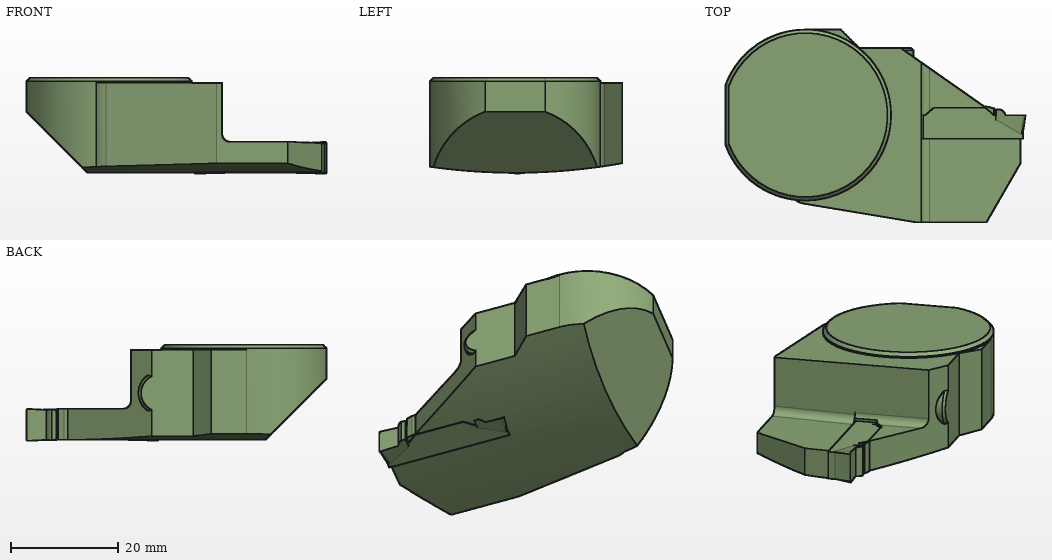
import cadquery as cq
import math


DISC_RADIUS = 16.0
DISC_TOP = 18.0
DISC_CHAMFER = 0.7
DISC_FLAT_X = -15.0
HEEL_BEVEL_TOP = 11.65

BODY_TOP = 17.05
SIDE_Y = -20.0
BACK_Y = 12.55
SHOULDER_END_X = 6.55
BACK_BEVEL_X = 17.7
BACK_BEVEL_ANGLE = 35
BLEND_START_X = -1.9
BLEND_END_X = -0.1
BLEND_END_Y = -16.6
BLEND_SAG = 0.1
TAPER_END_X = 20.5
BLADE_END_X = 40.15
BLADE_CORNER_Y = -9.05
BLADE_BEVEL_ANGLE = 60
BELLY_RADIUS = 112.2
BELLY_Z = 0.2

WALL_X = 21.6
STEP_FILLET = 1.5
BLADE_TOP = 6.05
BLADE_RELIEF = 0.35

NOSE_START_Y = 1.6
NOSE_KNEE_X = 34.1
NOSE_KNEE_Y = 1.55
NOSE_END_X = 35.25
NOSE_END_Y = 1.25

BOSS_RADIUS = 4.0
BOSS_RIGHT_X = 20.2
BOSS_Z = 9.0
BOSS_CHAMFER = 0.5

TIP_X = 41.1
INSERT_MID_X = 28.8
TIP_WIDTH = 6.05
NECK_INSET = 0.4
INSERT_BASE_Y = -4.45
CREST_Y = 1.4
CREST_END_X = 33.55
RAMP_END_X = 35.2
BREAKER_START_X = 35.55
BREAKER_TOP_X = 36.35
BREAKER_MID = (36.95, 0.7)
BREAKER_END_X = 37.35
BREAKER_Y = 1.05
CLEARANCE_END = (40.7, -3.1)
TIP_CORNER_RADIUS = 0.4
FLARE_START_Y = -0.85
FLARE_LINE_ANGLE = 30

CUT = 112.2
MARGIN = 0.15



def coupling_disc():
    disc = cq.Workplane("XY").circle(DISC_RADIUS).extrude(DISC_TOP)
    flat = cq.Workplane("XY").box(CUT, CUT, CUT).translate((DISC_FLAT_X - CUT / 2, 0, 0))
    return disc.cut(flat).faces(">Z").chamfer(DISC_CHAMFER)


def holder_plate():
    """Outline of the holder, full height, from the disc to the blade end."""
    shoulder_drop = DISC_RADIUS - BACK_Y
    nose_start_x = BACK_BEVEL_X + (BACK_Y - NOSE_START_Y) / math.tan(math.radians(BACK_BEVEL_ANGLE))
    blade_bevel_x = BLADE_END_X + (SIDE_Y - BLADE_CORNER_Y) / math.tan(math.radians(BLADE_BEVEL_ANGLE))
    blend_start_y = -math.sqrt(DISC_RADIUS ** 2 - BLEND_START_X ** 2)
    return (
        cq.Workplane("XY")
        .moveTo(0, DISC_RADIUS)
        .lineTo(SHOULDER_END_X, DISC_RADIUS)
        .lineTo(SHOULDER_END_X + shoulder_drop, BACK_Y)
        .lineTo(BACK_BEVEL_X, BACK_Y)
        .lineTo(nose_start_x, NOSE_START_Y)
        .lineTo(NOSE_KNEE_X, NOSE_KNEE_Y)
        .lineTo(NOSE_END_X, NOSE_END_Y)
        .lineTo(NOSE_END_X, INSERT_BASE_Y)
        .lineTo(BLADE_END_X, INSERT_BASE_Y)
        .lineTo(BLADE_END_X, BLADE_CORNER_Y)
        .lineTo(blade_bevel_x, SIDE_Y)
        .lineTo(TAPER_END_X, SIDE_Y)
        .lineTo(BLEND_END_X, BLEND_END_Y)
        .sagittaArc((BLEND_START_X, blend_start_y), BLEND_SAG)
        .lineTo(0, 0)
        .close()
        .extrude(BODY_TOP)
    )


def step_cutter(start_y, start_z, direction, length):
    """Material above the blade, down to the fillet at the wall, swept along `direction`."""
    plane = cq.Plane(origin=(WALL_X, start_y, start_z), xDir=(1, 0, 0), normal=direction)
    return (
        cq.Workplane(plane)
        .moveTo(STEP_FILLET, 0)
        .lineTo(CUT, 0)
        .lineTo(CUT, -CUT)
        .lineTo(0, -CUT)
        .lineTo(0, -STEP_FILLET)
        .tangentArcPoint((STEP_FILLET, 0), relative=False)
        .close()
        .extrude(length)
    )


def belly():
    """Cylinder along X whose underside is the curved bottom of the holder."""
    return (
        cq.Workplane("YZ")
        .workplane(offset=-CUT / 2)
        .center(0, BELLY_Z + BELLY_RADIUS)
        .circle(BELLY_RADIUS)
        .extrude(CUT)
    )


def heel_cutter():
    """Wedge below the 45 degree heel bevel."""
    return (
        cq.Workplane("XZ")
        .polyline([
            (DISC_FLAT_X, HEEL_BEVEL_TOP),
            (DISC_FLAT_X + HEEL_BEVEL_TOP, 0),
            (DISC_FLAT_X, 0),
        ])
        .close()
        .extrude(CUT / 2, both=True)
    )


def clamp_boss():
    boss_x = BOSS_RIGHT_X - BOSS_RADIUS
    return (
        cq.Workplane("XZ", origin=(boss_x, BACK_Y, BOSS_Z))
        .circle(BOSS_RADIUS)
        .extrude(BACK_Y)
        .faces(">Y")
        .chamfer(BOSS_CHAMFER)
    )


def insert_pocket():
    """Room for the insert: closed above under the body, open above outside the wall."""
    closed = both_ends(insert_half(0, TIP_WIDTH))
    step_top = BLADE_TOP + STEP_FILLET
    rear_breaker_x = 2 * INSERT_MID_X - BREAKER_START_X
    outside = cq.Workplane("XY").box(CUT, CUT, CUT).translate((rear_breaker_x + CUT / 2, 0, 0))
    opened = both_ends(insert_half(0, step_top)).intersect(outside)
    return closed.union(opened)


def make_holder():
    relief_run = 2 * (INSERT_BASE_Y - SIDE_Y)
    relief_drop = 2 * BLADE_RELIEF
    relief_direction = (0, relief_run, -relief_drop)
    relief_start = (INSERT_BASE_Y - relief_run, BLADE_TOP - BLADE_RELIEF + relief_drop)
    holder = holder_plate()
    holder = holder.cut(step_cutter(INSERT_BASE_Y, BLADE_TOP, (0, 1, 0), CUT))
    holder = holder.cut(step_cutter(*relief_start, relief_direction, math.hypot(relief_run, relief_drop)))
    holder = holder.union(coupling_disc()).union(clamp_boss())
    holder = holder.intersect(belly()).cut(heel_cutter())
    return holder.cut(insert_pocket())



def both_ends(half):
    """Completes a half insert with its mirror image."""
    return half.union(half.mirror("YZ", (INSERT_MID_X, 0, 0)))


def insert_half(bottom, top):
    """Half insert from its middle to the cutting edge, as a plain prism."""
    return (
        cq.Workplane("XY")
        .workplane(offset=bottom)
        .moveTo(INSERT_MID_X, CREST_Y)
        .lineTo(CREST_END_X, CREST_Y)
        .lineTo(RAMP_END_X, 0)
        .lineTo(BREAKER_START_X, 0)
        .lineTo(BREAKER_START_X, BREAKER_Y)
        .lineTo(BREAKER_TOP_X, BREAKER_Y)
        .threePointArc(BREAKER_MID, (BREAKER_END_X, 0))
        .lineTo(TIP_X, 0)
        .lineTo(*CLEARANCE_END)
        .lineTo(CLEARANCE_END[0], INSERT_BASE_Y)
        .lineTo(INSERT_MID_X, INSERT_BASE_Y)
        .close()
        .extrude(top - bottom)
    )


def flare_cutter():
    """Block above the tilted top face of the head, which rises from the neck to the edge."""
    angle = math.radians(FLARE_LINE_ANGLE)
    along = cq.Vector(math.cos(angle), -math.sin(angle), 0)
    across = cq.Vector(math.sin(angle), math.cos(angle), 0)
    start = cq.Vector(BREAKER_START_X, FLARE_START_Y, TIP_WIDTH - NECK_INSET)
    run = (cq.Vector(TIP_X, 0, start.z) - start).dot(across)
    normal = cq.Vector(0, 0, run) - across * NECK_INSET
    plane = cq.Plane(origin=start.toTuple(), xDir=along.toTuple(), normal=normal.toTuple())
    return cq.Workplane(plane).rect(CUT, CUT).extrude(CUT)


def insert_upper_head():
    """Upper half of the flared head, with the corner of the cutting edge rounded."""
    mid_z = TIP_WIDTH / 2
    front = cq.Workplane("XY").box(CUT, CUT, CUT).translate((BREAKER_START_X + CUT / 2, 0, 0))
    head = insert_half(mid_z, TIP_WIDTH).intersect(front).cut(flare_cutter())
    end_edges = cq.selectors.BoxSelector(
        (CLEARANCE_END[0] - MARGIN, INSERT_BASE_Y - MARGIN, TIP_WIDTH - NECK_INSET - MARGIN),
        (TIP_X + MARGIN, CREST_Y, TIP_WIDTH + MARGIN),
    )
    return head.edges(end_edges).fillet(TIP_CORNER_RADIUS)


def make_insert():
    neck = insert_half(NECK_INSET, TIP_WIDTH - NECK_INSET)
    upper_head = insert_upper_head()
    lower_head = upper_head.mirror("XY", (0, 0, TIP_WIDTH / 2))
    return both_ends(neck.union(upper_head).union(lower_head))


holder = make_holder()
insert = make_insert()

result = cq.Compound.makeCompound([holder.val(), insert.val()])